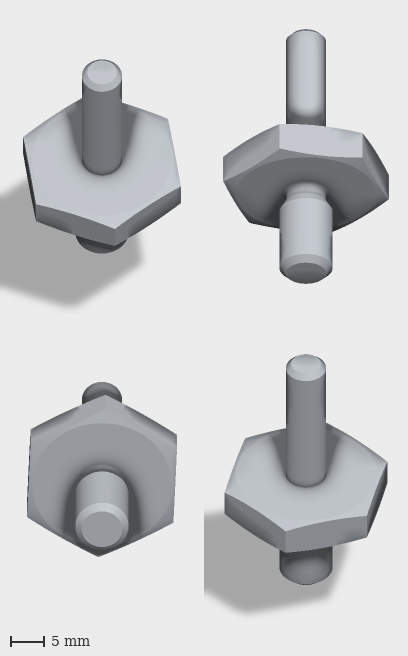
import cadquery as cq
import math

total_height = 41.5
flange_bottom = 14.0
flange_thickness = 5.48
flange_top = flange_bottom + flange_thickness

across_flats = 22.0
across_corners = across_flats / math.cos(math.radians(30))
flange_face_diameter = 21.0
flange_chamfer_angle = 15.0

pin_radius = 6.0 / 2
pin_chamfer = 0.8

stud_radius = 8.0 / 2
stud_chamfer = 0.95
shoulder_height = 10.8
neck_radius = 6.0 / 2
relief_cone_angle = 30.0
relief_fillet = 0.6


def make_flange():
    """Hexagonal prism with its corners turned to a shallow cone on both faces."""
    prism = (
        cq.Workplane("XY")
        .workplane(offset=flange_bottom)
        .polygon(6, across_corners)
        .extrude(flange_thickness)
    )
    face_radius = flange_face_diameter / 2
    corner_radius = across_corners / 2
    corner_drop = (corner_radius - face_radius) * math.tan(math.radians(flange_chamfer_angle))
    turned_envelope = (
        cq.Workplane("XZ")
        .moveTo(0, flange_bottom)
        .lineTo(face_radius, flange_bottom)
        .lineTo(corner_radius, flange_bottom + corner_drop)
        .lineTo(corner_radius, flange_top - corner_drop)
        .lineTo(face_radius, flange_top)
        .lineTo(0, flange_top)
        .close()
        .revolve(360, (0, 0, 0), (0, 1, 0))
    )
    return prism.intersect(turned_envelope)


def make_pin():
    """Plain pin above the flange with a chamfered tip."""
    return (
        cq.Workplane("XY")
        .workplane(offset=flange_top)
        .circle(pin_radius)
        .extrude(total_height - flange_top)
        .faces(">Z")
        .chamfer(pin_chamfer)
    )


def make_stud():
    """Stud below the flange; the groove blends into the flange and the cone with arcs."""
    cone_angle = math.radians(relief_cone_angle)
    cone_top = shoulder_height + (stud_radius - neck_radius) / math.tan(cone_angle)
    arc_center_x = neck_radius + relief_fillet
    arc_center_z = cone_top + relief_fillet * math.tan(cone_angle / 2)

    def blend_point(angle):
        return (
            arc_center_x - relief_fillet * math.cos(angle),
            arc_center_z - relief_fillet * math.sin(angle),
        )

    flange_arc_z = flange_bottom - relief_fillet
    arc_offset = relief_fillet * math.sin(math.radians(45))
    flange_arc_middle = (arc_center_x - arc_offset, flange_arc_z + arc_offset)

    return (
        cq.Workplane("XZ")
        .lineTo(stud_radius - stud_chamfer, 0)
        .lineTo(stud_radius, stud_chamfer)
        .lineTo(stud_radius, shoulder_height)
        .lineTo(*blend_point(cone_angle))
        .threePointArc(blend_point(cone_angle / 2), blend_point(0))
        .lineTo(neck_radius, flange_arc_z)
        .threePointArc(flange_arc_middle, (arc_center_x, flange_bottom))
        .lineTo(0, flange_bottom)
        .close()
        .revolve(360, (0, 0, 0), (0, 1, 0))
    )


result = make_flange().union(make_pin()).union(make_stud())